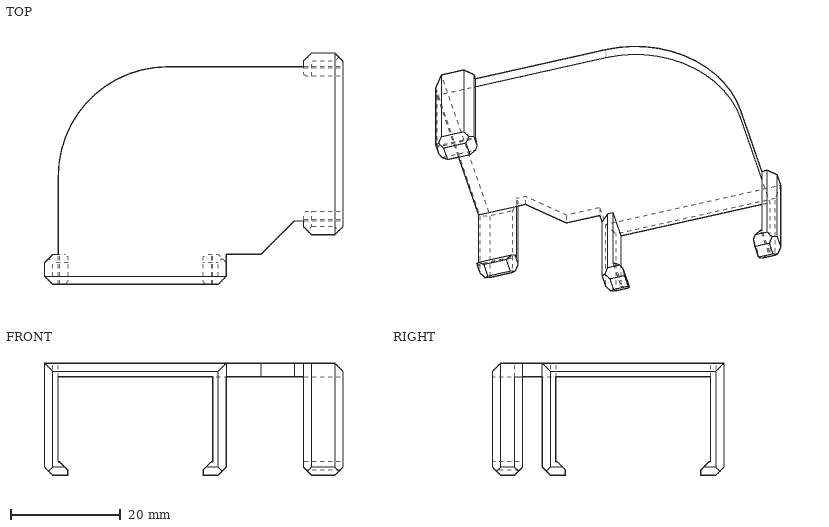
import cadquery as cq
import math

length_x = 54.5
height = 20.5
plate_thickness = 2.5

clip_width = 33.2
clip_wall = 2.5
clip_chamfer = 1.5
front_clip_depth = 5.5
side_clip_depth = 7.25
side_clip_offset_y = 9.07
hook_reach = 1.75
hook_height = 2.5
hook_slope = 1.5

outer_bend_radius = 20.0
neck_length = 1.65

depth_y = side_clip_offset_y + clip_width
plate_back_y = depth_y - clip_wall
inner_edge_y = side_clip_offset_y + clip_wall
diagonal_size = inner_edge_y - front_clip_depth
diagonal_end_x = length_x - side_clip_depth - neck_length
plate_end_x = length_x - clip_chamfer


def clip_body(depth):
    """Chamfered block; its outer face is at y = 0 and only that side is chamfered on top."""
    c = clip_chamfer
    plan = cq.Workplane("XY").rect(clip_width, depth).extrude(height).edges("|Z").chamfer(c)
    plan = plan.translate((clip_width / 2, depth / 2, 0))
    front = (
        cq.Workplane("XZ")
        .polyline([(c, 0), (clip_width - c, 0), (clip_width, c), (clip_width, height), (0, height), (0, c)])
        .close()
        .extrude(-depth)
    )
    side = (
        cq.Workplane("YZ")
        .polyline([(c, 0), (depth - c, 0), (depth, c), (depth, height), (c, height), (0, height - c), (0, c)])
        .close()
        .extrude(clip_width)
    )
    return plan.intersect(front).intersect(side)


def clip_opening(depth):
    """Space between the legs, narrowed at the bottom by the two snap hooks."""
    hook_tip_x = clip_wall + hook_reach
    ledge_end_x = hook_tip_x - hook_slope
    left_side = [
        (hook_tip_x, 0),
        (hook_tip_x, hook_height - hook_slope),
        (ledge_end_x, hook_height),
        (clip_wall, hook_height),
        (clip_wall, height - plate_thickness),
    ]
    right_side = [(clip_width - x, z) for x, z in reversed(left_side)]
    return cq.Workplane("XZ").polyline(left_side + right_side).close().extrude(-depth)


def clip(depth):
    return clip_body(depth).cut(clip_opening(depth))


def cover_plate():
    """Elbow-shaped plate, overlapping the bridge of each clip."""
    bend_x = clip_wall + outer_bend_radius
    bend_y = plate_back_y - outer_bend_radius
    arc_offset = outer_bend_radius * math.sqrt(0.5)
    return (
        cq.Workplane("XY", origin=(0, 0, height - plate_thickness))
        .moveTo(clip_wall, clip_chamfer)
        .lineTo(clip_width, clip_chamfer)
        .lineTo(clip_width, front_clip_depth)
        .lineTo(diagonal_end_x - diagonal_size, front_clip_depth)
        .lineTo(diagonal_end_x, inner_edge_y)
        .lineTo(plate_end_x, inner_edge_y)
        .lineTo(plate_end_x, plate_back_y)
        .lineTo(bend_x, plate_back_y)
        .threePointArc((bend_x - arc_offset, bend_y + arc_offset), (clip_wall, bend_y))
        .close()
        .extrude(plate_thickness)
    )


front_clip = clip(front_clip_depth)

side_clip = (
    clip(side_clip_depth)
    .rotate((0, 0, 0), (0, 0, 1), 90)
    .translate((length_x, side_clip_offset_y, 0))
)

result = cover_plate().union(front_clip).union(side_clip)